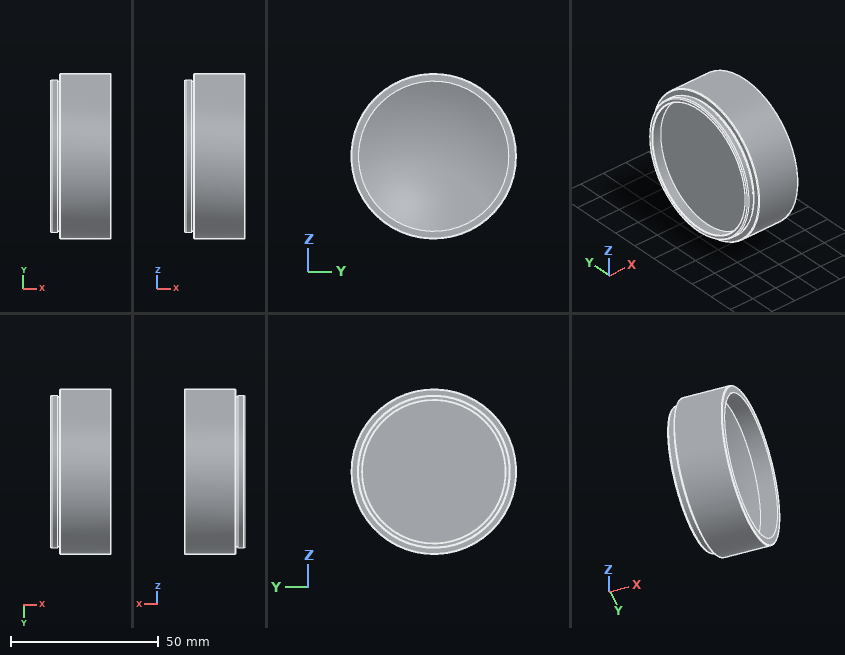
import cadquery as cq
import math


total_length = 20.55
body_radius = 27.95
body_chamfer = 0.3

nose_radius = 25.8
nose_length = 2.45
nose_chamfer_length = 0.5
nose_chamfer_depth = 0.35
groove_radius = 25.35
body_start = 3.15

aperture_radius = 24.15
aperture_chamfer = 0.2
seat_start = 3.75
seat_radius = 25.35

lens_radius = seat_radius
lens_center_thickness = 4.0
concave_radius = 51.5
concave_sag = concave_radius - math.sqrt(concave_radius**2 - lens_radius**2)
lens_edge_thickness = lens_center_thickness + concave_sag

front_x = -total_length / 2
seat_x = front_x + seat_start


def axial_cylinder(start, length, radius):
    """Solid cylinder about the X axis, running toward +X from x = start."""
    return cq.Workplane("YZ", origin=(start, 0, 0)).circle(radius).extrude(length)


def make_housing():
    """Ring-shaped cell with a stepped outside and a shouldered bore."""
    body = axial_cylinder(front_x + body_start, total_length - body_start, body_radius)
    body = body.faces("<X or >X").chamfer(body_chamfer)

    nose_tip_radius = nose_radius - nose_chamfer_depth
    nose_profile = [
        (front_x, 0),
        (front_x, nose_tip_radius),
        (front_x + nose_chamfer_length, nose_radius),
        (front_x + nose_length, nose_radius),
        (front_x + nose_length, 0),
    ]
    nose = cq.Workplane("XY").polyline(nose_profile).close().revolve(360, (0, 0), (1, 0))
    groove_core = axial_cylinder(front_x + nose_length, body_start - nose_length, groove_radius)

    aperture = axial_cylinder(front_x, seat_start, aperture_radius)
    seat = axial_cylinder(seat_x, total_length - seat_start, seat_radius)
    housing = body.union(groove_core).union(nose).cut(aperture).cut(seat)

    aperture_rim = cq.selectors.RadiusNthSelector(0)
    return housing.faces("<X").edges(aperture_rim).chamfer(aperture_chamfer)


def make_lens():
    """Flat face against the seat shoulder, spherical concave face toward +X."""
    blank = axial_cylinder(seat_x, lens_edge_thickness, lens_radius)
    sphere_center_x = seat_x + lens_center_thickness + concave_radius
    concave_sphere = cq.Workplane("XY", origin=(sphere_center_x, 0, 0)).sphere(concave_radius)
    return blank.cut(concave_sphere)


housing = make_housing()
lens = make_lens()

result = cq.Compound.makeCompound([housing.solids().val(), lens.solids().val()])